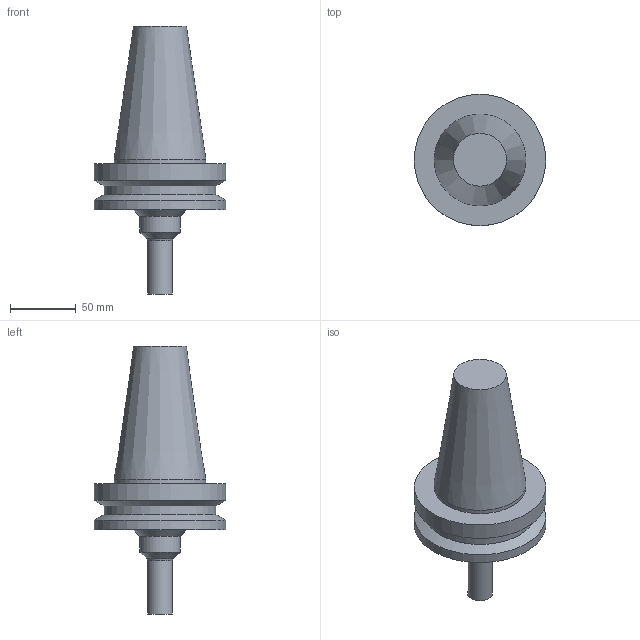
import cadquery as cq
import math

gauge_radius = 69.85 / 2
taper_length = 101.8
taper_ratio = 7 / 24
taper_tip_radius = gauge_radius - taper_length * taper_ratio / 2

flange_radius = 100 / 2
flange_top_z = -3.0
flange_bottom_z = -38.0
groove_floor_radius = 85 / 2
groove_center_z = -23.1
groove_floor_width = 6.5
groove_flank_angle = 30
groove_flank_height = (flange_radius - groove_floor_radius) * math.tan(math.radians(groove_flank_angle))
groove_floor_top_z = groove_center_z + groove_floor_width / 2
groove_floor_bottom_z = groove_center_z - groove_floor_width / 2

collar_radius = 31 / 2
collar_top_z = -43.0
collar_bottom_z = -55.0
neck_top_radius = collar_radius + (flange_bottom_z - collar_top_z)
shoulder_end_radius = 10.0
shoulder_end_z = -60.0
pin_radius = 19 / 2
pin_top_z = -61.5
pin_bottom_z = -102.0


def revolve_profile(points):
    """Revolve a closed (radius, z) outline about the Z axis."""
    full_turn = 360
    axis_start = (0, 0)
    axis_end = (0, 1)
    outline = cq.Workplane("XZ").polyline(points).close()
    return outline.revolve(full_turn, axis_start, axis_end)


taper_points = [
    (0, taper_length),
    (taper_tip_radius, taper_length),
    (gauge_radius, 0),
    (gauge_radius, flange_top_z),
]
flange_points = [
    (flange_radius, flange_top_z),
    (flange_radius, groove_floor_top_z + groove_flank_height),
    (groove_floor_radius, groove_floor_top_z),
    (groove_floor_radius, groove_floor_bottom_z),
    (flange_radius, groove_floor_bottom_z - groove_flank_height),
    (flange_radius, flange_bottom_z),
]
nose_points = [
    (neck_top_radius, flange_bottom_z),
    (collar_radius, collar_top_z),
    (collar_radius, collar_bottom_z),
    (shoulder_end_radius, shoulder_end_z),
    (pin_radius, pin_top_z),
    (pin_radius, pin_bottom_z),
    (0, pin_bottom_z),
]

result = revolve_profile(taper_points + flange_points + nose_points)